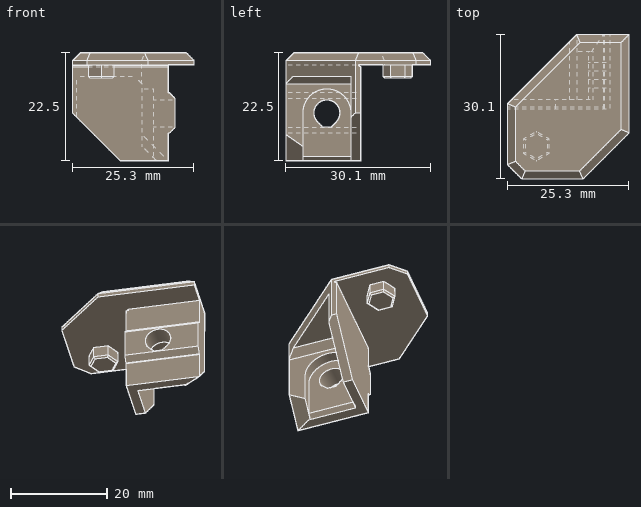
import cadquery as cq
import math

length_x = 25.3
length_y = 30.05
height = 22.5

plate_thickness = 2.55
plate_bevel = 1.68
plate_front_left = 3.0
plate_front_right = 9.62
plate_back_left = length_y - 15.65
plate_bottom = height - plate_thickness

body_x = 19.95
axis_z = body_x / 2
body_front = 14.5
body_depth = length_y - body_front
bottom_cut = axis_z
skew_start = length_y - plate_back_left

groove_depth = 0.42
groove_height = 0.18
groove_bevel = 0.25

recess_front = 16.55
recess_floor = 14.48
recess_top = 17.55
recess_slope = 1.55

seat_radius = 5.0
seat_floor = 16.83
seat_bevel = 0.93
axis_y = recess_front + seat_radius
hole_radius = 2.67
teardrop_drop = 2.88

key_x = 21.35
key_step = 0.2
key_half_height = 4.2
key_bevel = key_x - body_x - key_step

peg_x = 6.0
peg_y = 6.85
peg_across_corners = 6.1
peg_height = 2.75
peg_bevel = 0.35


def make_plate():
    outline = [
        (0, plate_front_left),
        (0, length_y - plate_back_left),
        (plate_back_left, length_y),
        (length_x, length_y),
        (length_x, plate_front_right),
        (length_x - plate_front_right, 0),
        (plate_front_left, 0),
    ]
    plate = cq.Workplane("XY").workplane(offset=plate_bottom).polyline(outline).close()
    return plate.extrude(plate_thickness).faces(">Z").chamfer(plate_bevel)


def make_body():
    outline = [
        (0, body_front),
        (0, skew_start),
        (plate_back_left, length_y),
        (body_x, length_y),
        (body_x, body_front),
    ]
    return cq.Workplane("XY").polyline(outline).close().extrude(plate_bottom)


def make_key():
    profile = [
        (body_x, axis_z - key_half_height),
        (body_x + key_step, axis_z - key_half_height),
        (key_x, axis_z - key_half_height + key_bevel),
        (key_x, axis_z + key_half_height - key_bevel),
        (body_x + key_step, axis_z + key_half_height),
        (body_x, axis_z + key_half_height),
    ]
    front = cq.Workplane("XZ", origin=(0, body_front, 0))
    return front.polyline(profile).close().extrude(-body_depth)


def make_bottom_cut():
    """Corner cut at 45 degrees along the whole depth."""
    corner = [(0, 0), (bottom_cut, 0), (0, bottom_cut)]
    return cq.Workplane("XZ", origin=(0, body_front, 0)).polyline(corner).close().extrude(-body_depth)


def make_skew_cut():
    """Corner cut in the recess that grows to the full body width at the back."""
    def size_at(y):
        growth = (y - skew_start) / (length_y - skew_start)
        return bottom_cut + growth * (body_x - bottom_cut)

    near = size_at(recess_front)
    far = size_at(length_y)
    cut = cq.Workplane("XZ", origin=(0, recess_front, 0)).polyline([(0, 0), (near, 0), (0, near)]).close()
    cut = cut.workplane(offset=recess_front - length_y).polyline([(0, 0), (far, 0), (0, far)]).close()
    return cut.loft(ruled=True)


def make_recess():
    profile = [
        (0, 0),
        (recess_floor, 0),
        (recess_floor, recess_top - recess_slope),
        (recess_floor - recess_slope, recess_top),
        (0, recess_top),
    ]
    front = cq.Workplane("XZ", origin=(0, recess_front, 0))
    return front.polyline(profile).close().extrude(recess_front - length_y)


def make_screw_seat():
    """Round-topped slot open at the bottom, with a bevel on its floor edge."""
    slot = (
        cq.Workplane("YZ")
        .moveTo(axis_y - seat_radius, 0)
        .lineTo(axis_y - seat_radius, axis_z)
        .threePointArc((axis_y, axis_z + seat_radius), (axis_y + seat_radius, axis_z))
        .lineTo(axis_y + seat_radius, 0)
        .close()
        .extrude(seat_floor)
    )
    bevel = (
        cq.Workplane("XZ", origin=(0, axis_y - seat_radius, 0))
        .polyline([(seat_floor, 0), (seat_floor + seat_bevel, 0), (seat_floor, seat_bevel)])
        .close()
        .extrude(-2 * seat_radius)
    )
    return slot.union(bevel)


def make_screw_hole():
    tangent = hole_radius / math.sqrt(2)
    flat_half = hole_radius * math.sqrt(2) - teardrop_drop
    return (
        cq.Workplane("YZ", origin=(0, axis_y, axis_z))
        .moveTo(-flat_half, -teardrop_drop)
        .lineTo(-tangent, -tangent)
        .threePointArc((0, hole_radius), (tangent, -tangent))
        .lineTo(flat_half, -teardrop_drop)
        .close()
        .extrude(key_x)
    )


def make_groove():
    profile = [
        (body_front, plate_bottom),
        (body_front + groove_depth, plate_bottom),
        (body_front + groove_depth, plate_bottom - groove_height),
        (body_front, plate_bottom - groove_height - groove_bevel),
    ]
    return cq.Workplane("YZ").polyline(profile).close().extrude(body_x)


def make_peg():
    peg = cq.Workplane("XY", origin=(peg_x, peg_y, plate_bottom - peg_height))
    peg = peg.transformed(rotate=(0, 0, 90)).polygon(6, peg_across_corners).extrude(peg_height)
    return peg.faces("<Z").chamfer(peg_bevel)


body = make_body().union(make_key())
for cutter in (
    make_bottom_cut(),
    make_recess(),
    make_skew_cut(),
    make_screw_seat(),
    make_screw_hole(),
    make_groove(),
):
    body = body.cut(cutter)

result = make_plate().union(body).union(make_peg())